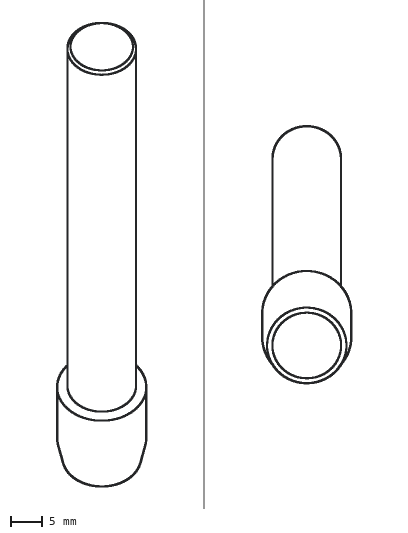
import cadquery as cq

total_length = 100.0
pin_diameter = 11.0
pin_top_chamfer = 0.5

bush_diameter = 14.3
bush_length = 17.3
bush_taper_length = 4.5
bush_bottom_diameter = 12.7
bush_top_slope_rise = 0.3


def make_pin():
    """Plain round pin with a chamfered top edge."""
    pin = cq.Workplane("XY").circle(pin_diameter / 2).extrude(total_length)
    return pin.faces(">Z").chamfer(pin_top_chamfer)


def make_bush():
    """Revolved bush: tapered lead-in below, straight wall and gently coned top, bored for the pin."""
    bore_radius = pin_diameter / 2
    outer_radius = bush_diameter / 2
    profile = (
        cq.Workplane("XZ")
        .moveTo(bore_radius, 0)
        .lineTo(bush_bottom_diameter / 2, 0)
        .lineTo(outer_radius, bush_taper_length)
        .lineTo(outer_radius, bush_length - bush_top_slope_rise)
        .lineTo(bore_radius, bush_length)
        .close()
    )
    return profile.revolve(360, (0, 0, 0), (0, 1, 0))


pin = make_pin()
bush = make_bush()

result = cq.Compound.makeCompound([pin.val(), bush.val()])